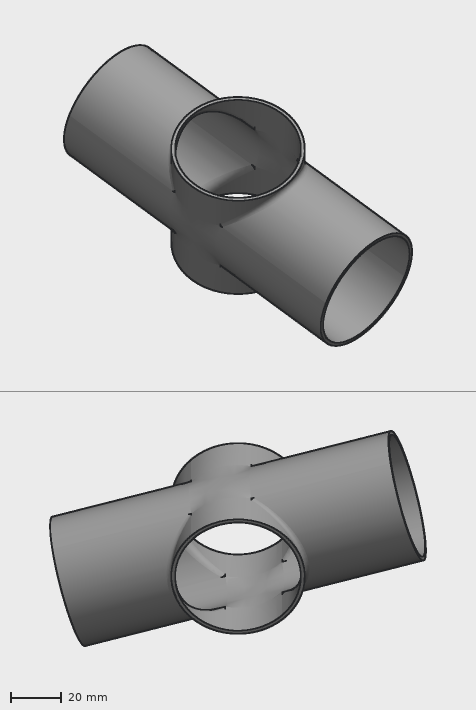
import cadquery as cq
import math

run_length = 140.0
branch_length = 59.0
outer_diameter = 53.0
inner_diameter = 50.0
outer_fillet = 2.0
crown_rise = 0.07
outer_crown_half_width = 12.5
crown_grid = 4

outer_radius = outer_diameter / 2
inner_radius = inner_diameter / 2
wall = outer_radius - inner_radius
inner_fillet = outer_fillet + wall


def crossed_cylinders(radius):
    run = cq.Workplane("YZ").circle(radius).extrude(run_length / 2, both=True)
    branch = cq.Workplane("XY").circle(radius).extrude(branch_length / 2, both=True)
    return run.union(branch)


def crown_half_width(radius):
    """Crown size, scaled so that outer and inner crowns match."""
    return outer_crown_half_width * radius / outer_radius


def crown_base(radius):
    """Y level of the corners of a crown, where the filleted joints begin."""
    return math.sqrt(radius**2 - crown_half_width(radius)**2)


def blended_joint(radius, fillet):
    """Crossed cylinders, without their Y crowns, with the mitre joints filleted."""
    half_slab = (
        cq.Workplane("XY")
        .box(run_length / 2, 2 * crown_base(radius), branch_length)
        .translate((-run_length / 4, 0, 0))
    )
    half_body = crossed_cylinders(radius).intersect(half_slab)
    half_body = half_body.edges("%ELLIPSE").fillet(fillet)
    return half_body.union(half_body.mirror("YZ"))


def cap_arm(radius, length, plane):
    """Sliver of a pipe above the crown base, running outward from the crown's edge."""
    base = crown_base(radius)
    half = crown_half_width(radius)
    return (
        cq.Workplane(plane)
        .workplane(offset=half)
        .moveTo(-half, base)
        .threePointArc((0, radius), (half, base))
        .close()
        .extrude(length / 2 - half)
    )


def crown(radius):
    """Smooth block over the crossing on +Y, rounding the ridges of both cylinders together."""
    half = crown_half_width(radius)
    base = crown_base(radius)

    def height(x, z):
        run_height = math.sqrt(radius**2 - z**2)
        branch_height = math.sqrt(radius**2 - x**2)
        fade = (1 - (x / half)**2) * (1 - (z / half)**2)
        spread = math.hypot(run_height - branch_height, 2 * crown_rise * fade)
        return (run_height + branch_height + spread) / 2

    corners = [
        cq.Vector(half, base, half),
        cq.Vector(-half, base, half),
        cq.Vector(-half, base, -half),
        cq.Vector(half, base, -half),
    ]
    arcs = []
    sides = []
    for start, end in zip(corners, corners[1:] + corners[:1]):
        middle = (start + end) / 2
        arc = cq.Edge.makeThreePointArc(start, cq.Vector(middle.x, radius, middle.z), end)
        chord = cq.Edge.makeLine(end, start)
        arcs.append(arc)
        sides.append(cq.Face.makeFromWires(cq.Wire.assembleEdges([arc, chord])))
    stations = [half * i / crown_grid for i in range(1 - crown_grid, crown_grid)]
    points = [cq.Vector(x, height(x, z), z) for x in stations for z in stations]
    surface = cq.Face.makeNSidedSurface(arcs, points)
    floor = cq.Face.makeFromWires(cq.Wire.makePolygon(corners, close=True))
    return cq.Workplane(cq.Solid.makeSolid(cq.Shell.makeShell([surface, floor] + sides)))


def cross_envelope(radius, fillet):
    """Solid bounded by the blended surface of one pipe cross."""
    run_plane = cq.Plane((0, 0, 0), xDir=(0, 0, -1), normal=(1, 0, 0))
    branch_plane = cq.Plane((0, 0, 0), xDir=(1, 0, 0), normal=(0, 0, 1))
    run_arm = cap_arm(radius, run_length, run_plane)
    branch_arm = cap_arm(radius, branch_length, branch_plane)
    cap_pieces = [
        run_arm,
        run_arm.mirror("YZ"),
        branch_arm,
        branch_arm.mirror("XY"),
        crown(radius),
    ]
    body = blended_joint(radius, fillet)
    for piece in cap_pieces:
        for cap_piece in (piece, piece.mirror("XZ")):
            body = body.union(cap_piece, clean=False)
    return body


outside = cross_envelope(outer_radius, outer_fillet)
inside = cross_envelope(inner_radius, inner_fillet)
result = outside.cut(inside, clean=False)